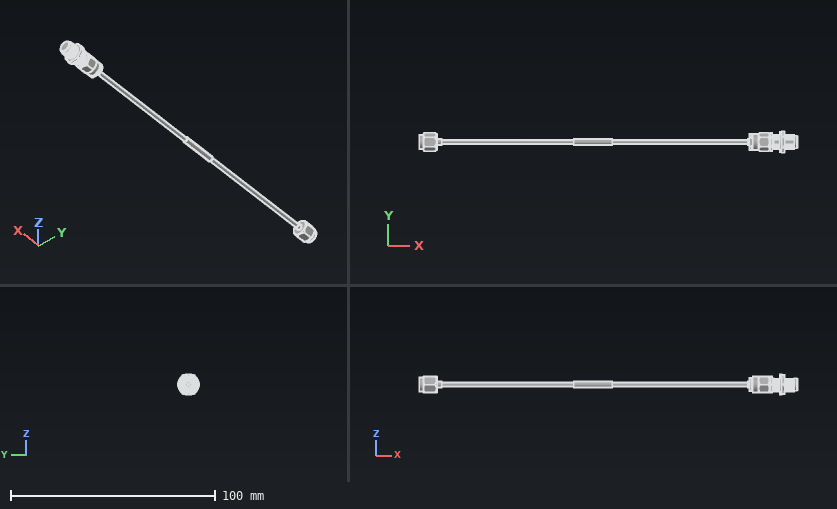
import cadquery as cq
import math

TOTAL_LENGTH = 185.17

CABLE_RADIUS = 1.09
SLEEVE_RADIUS = 1.5
SLEEVE_START = 75.5
SLEEVE_END = 94.5

HEX_ACROSS_FLATS = 8.0
HEX_CORNER_RADIUS = HEX_ACROSS_FLATS / 2 / math.cos(math.pi / 6)
HEX_FACE_RADIUS = 3.85
FERRULE_RADIUS = 1.5

COLLAR_RADIUS = 3.5
PLUG_HEX_START = 2.0
PLUG_HEX_END = 8.7
PLUG_FRONT_CHAMFER = 0.5
PLUG_REAR_CHAMFER = 1.1
PLUG_FERRULE_END = 10.9
PLUG_BORE_RADIUS = 3.1
PLUG_BORE_DEPTH = 2.5
SHELL_RADIUS = 2.65
SHELL_FACE = 0.2
SHELL_BORE_RADIUS = 2.05
DIELECTRIC_RADIUS = 1.65
DIELECTRIC_FACE = 0.4
SHELL_BORE_DEPTH = 0.6
CONTACT_RADIUS = 0.64
CONTACT_HOLE_RADIUS = 0.46
CONTACT_FACE = 0.2
CONTACT_HOLE_DEPTH = 3.0

JACK_START = 160.8
FLANGE_START = 161.35
FLANGE_FLAT_HEIGHT = 3.2
FLANGE_END = 162.3
UNDERCUT_RADIUS = 3.75
RING_START = 163.1
RING_RADIUS = 4.0
JACK_HEX_START = 165.9
JACK_HEX_SPLIT = 171.5
JACK_HEX_END = 172.8
JACK_HEX_CHAMFER = 0.8
JACK_HEX_RIM_CHAMFER = 0.5
NECK_RADIUS = 2.95
THREAD_START = 173.5
THREAD_END = 183.5
THREAD_RADIUS = 3.5
THREAD_ROOT_RADIUS = 3.1
THREAD_PITCH = 25.4 / 36
THREAD_GROOVE_SHARE = 0.9
THREAD_GROOVE_OVERCUT = 0.01
THREAD_FLAT_HEIGHT = 2.85
BARREL_RADIUS = 3.1
BARREL_CHAMFER = 0.4
WASHER_START = 176.4
WASHER_END = 177.3
WASHER_DIAMETER = 10.16
WASHER_RADIUS = WASHER_DIAMETER / 2
NUT_END = 178.8
NUT_ACROSS_FLATS = 9.525
NUT_RIM_DIAMETER = 10.75
NUT_RIM_RADIUS = NUT_RIM_DIAMETER / 2
NUT_FACE_RADIUS = 5.0
NUT_CHAMFER_LENGTH = 0.4


def cylinder(start, end, radius):
    section = cq.Plane(origin=(start, 0, 0), xDir=(0, 0, 1), normal=(1, 0, 0))
    return cq.Workplane(section).circle(radius).extrude(end - start)


def hexagon(start, end, across_flats):
    """Hexagonal prism with corners at +Y and -Y and flats at +Z and -Z."""
    corner_diameter = across_flats / math.cos(math.pi / 6)
    return cq.Workplane("YZ", origin=(start, 0, 0)).polygon(6, corner_diameter).extrude(end - start)


def turned_hexagon(start, end, start_chamfer, end_chamfer=None):
    """Connector hexagon whose corners are turned off by a cone at its start, and at its end if asked."""
    cone_depth = HEX_CORNER_RADIUS - HEX_FACE_RADIUS
    envelope = cylinder(start, end, HEX_CORNER_RADIUS).faces("<X").chamfer(start_chamfer, cone_depth)
    if end_chamfer:
        envelope = envelope.faces(">X").chamfer(end_chamfer, cone_depth)
    return hexagon(start, end, HEX_ACROSS_FLATS).intersect(envelope)


def make_plug():
    """Hexagonal coupling nut, ferrule for the cable, and the shell and contact inside the mating end."""
    plug = (
        cylinder(0, PLUG_HEX_START, COLLAR_RADIUS)
        .union(turned_hexagon(PLUG_HEX_START, PLUG_HEX_END, PLUG_FRONT_CHAMFER, PLUG_REAR_CHAMFER))
        .union(cylinder(PLUG_HEX_END, PLUG_FERRULE_END, FERRULE_RADIUS))
    )
    plug = plug.cut(cylinder(0, PLUG_BORE_DEPTH, PLUG_BORE_RADIUS))
    plug = plug.union(cylinder(SHELL_FACE, PLUG_BORE_DEPTH, SHELL_RADIUS))
    plug = plug.cut(cylinder(SHELL_FACE, SHELL_BORE_DEPTH, SHELL_BORE_RADIUS))
    plug = plug.union(cylinder(DIELECTRIC_FACE, SHELL_BORE_DEPTH, DIELECTRIC_RADIUS))
    plug = plug.union(cylinder(CONTACT_FACE, SHELL_BORE_DEPTH, CONTACT_RADIUS))
    plug = plug.cut(cylinder(CONTACT_FACE, CONTACT_HOLE_DEPTH, CONTACT_HOLE_RADIUS))
    return plug.cut(cylinder(PLUG_HEX_END, PLUG_FERRULE_END, CABLE_RADIUS))


def thread_groove(middle):
    """V-shaped ring that cuts one thread groove, centred on the given X."""
    half_width = THREAD_GROOVE_SHARE * THREAD_PITCH / 2
    mouth_radius = THREAD_RADIUS + THREAD_GROOVE_OVERCUT
    return (
        cq.Workplane("XY")
        .moveTo(middle, THREAD_ROOT_RADIUS)
        .lineTo(middle + half_width, mouth_radius)
        .lineTo(middle - half_width, mouth_radius)
        .close()
        .revolve(360, (0, 0, 0), (1, 0, 0))
    )


def make_thread():
    """Thread made of plain ring grooves, with a flat along its +Z side."""
    length = THREAD_END - THREAD_START
    thread = cylinder(THREAD_START, THREAD_END, THREAD_RADIUS)
    for index in range(int(length / THREAD_PITCH)):
        thread = thread.cut(thread_groove(THREAD_START + (index + 0.5) * THREAD_PITCH))
    flat = (
        cq.Workplane("XY")
        .box(length, 2 * THREAD_RADIUS, THREAD_RADIUS, centered=(False, True, False))
        .translate((THREAD_START, 0, THREAD_FLAT_HEIGHT))
    )
    return thread.cut(flat)


def make_flange():
    """Round flange and undercut behind it, with wrench flats at +Z and -Z."""
    length = RING_START - FLANGE_START
    flats = (
        cq.Workplane("XY")
        .box(length, 2 * RING_RADIUS, 2 * FLANGE_FLAT_HEIGHT, centered=(False, True, True))
        .translate((FLANGE_START, 0, 0))
    )
    return (
        cylinder(FLANGE_START, FLANGE_END, RING_RADIUS)
        .union(cylinder(FLANGE_END, RING_START, UNDERCUT_RADIUS))
        .intersect(flats)
    )


def make_nut():
    """Panel nut with its corners turned round and chamfered on the +X side."""
    envelope = cylinder(WASHER_END, NUT_END, NUT_RIM_RADIUS).faces(">X").chamfer(
        NUT_CHAMFER_LENGTH, NUT_RIM_RADIUS - NUT_FACE_RADIUS
    )
    return hexagon(WASHER_END, NUT_END, NUT_ACROSS_FLATS).intersect(envelope)


def make_jack():
    """Bulkhead jack with its washer and panel nut in place on the thread."""
    jack = (
        cylinder(JACK_START, FLANGE_START, FERRULE_RADIUS)
        .union(make_flange())
        .union(cylinder(RING_START, JACK_HEX_START, RING_RADIUS))
        .union(turned_hexagon(JACK_HEX_START, JACK_HEX_SPLIT, JACK_HEX_CHAMFER, JACK_HEX_CHAMFER))
        .union(turned_hexagon(JACK_HEX_SPLIT, JACK_HEX_END, JACK_HEX_RIM_CHAMFER))
        .union(cylinder(JACK_HEX_END, THREAD_START, NECK_RADIUS))
        .union(make_thread())
        .union(cylinder(THREAD_END, TOTAL_LENGTH, BARREL_RADIUS).faces(">X").chamfer(BARREL_CHAMFER))
        .union(cylinder(WASHER_START, WASHER_END, WASHER_RADIUS))
        .union(make_nut())
    )
    return jack.cut(cylinder(JACK_START, FLANGE_START, CABLE_RADIUS))


def make_cable():
    """Cable reaching to the bottom of the ferrule bores."""
    return cylinder(PLUG_HEX_END, FLANGE_START, CABLE_RADIUS)


def make_sleeve():
    """Label sleeve around the cable."""
    return cylinder(SLEEVE_START, SLEEVE_END, SLEEVE_RADIUS).cut(
        cylinder(SLEEVE_START, SLEEVE_END, CABLE_RADIUS)
    )


plug = make_plug()
cable = make_cable()
sleeve = make_sleeve()
jack = make_jack()

result = cq.Compound.makeCompound([plug.val(), cable.val(), sleeve.val(), jack.val()])